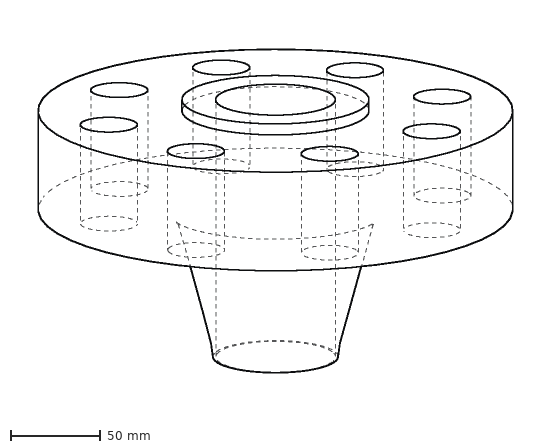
import cadquery as cq
import math

flange_diameter = 266.7
flange_thickness = 57.3
total_height = 149.4
face_diameter = 105.0
face_height = 6.5
bore_diameter = 67.2

bolt_count = 8
bolt_circle_diameter = 196.8
bolt_hole_diameter = 32.0

weld_end_diameter = 70.5
weld_bevel_diameter = 72.5
weld_end_height = 8.0
hub_diameter = 109.3
fillet_height = 8.5

flange_bottom = total_height - face_height - flange_thickness
flange_top = flange_bottom + flange_thickness
cone_top = flange_bottom - fillet_height

cone_rise = cone_top - weld_end_height
cone_run = (hub_diameter - weld_bevel_diameter) / 2
lean = math.atan2(cone_run, cone_rise)
fillet_radius = fillet_height / (1 - math.sin(lean))
fillet_center_radius = hub_diameter / 2 + fillet_radius * math.cos(lean)
fillet_center_height = flange_bottom - fillet_radius
middle_angle = (math.pi / 2 + math.pi - lean) / 2
fillet_middle = (
    fillet_center_radius + fillet_radius * math.cos(middle_angle),
    fillet_center_height + fillet_radius * math.sin(middle_angle),
)


def make_body():
    """Revolve the half section of the flange, hub and raised face."""
    section = (
        cq.Workplane("XZ")
        .moveTo(bore_diameter / 2, 0)
        .lineTo(weld_end_diameter / 2, 0)
        .lineTo(weld_bevel_diameter / 2, weld_end_height)
        .lineTo(hub_diameter / 2, cone_top)
        .threePointArc(fillet_middle, (fillet_center_radius, flange_bottom))
        .lineTo(flange_diameter / 2, flange_bottom)
        .lineTo(flange_diameter / 2, flange_top)
        .lineTo(face_diameter / 2, flange_top)
        .lineTo(face_diameter / 2, total_height)
        .lineTo(bore_diameter / 2, total_height)
        .close()
    )
    return section.revolve(360, (0, 0, 0), (0, 1, 0))


def make_bolt_holes():
    """Ring of through-hole cutters spanning the flange thickness."""
    return (
        cq.Workplane("XY", origin=(0, 0, flange_bottom))
        .polarArray(bolt_circle_diameter / 2, 0, 360, bolt_count)
        .circle(bolt_hole_diameter / 2)
        .extrude(flange_thickness)
    )


result = make_body().cut(make_bolt_holes())